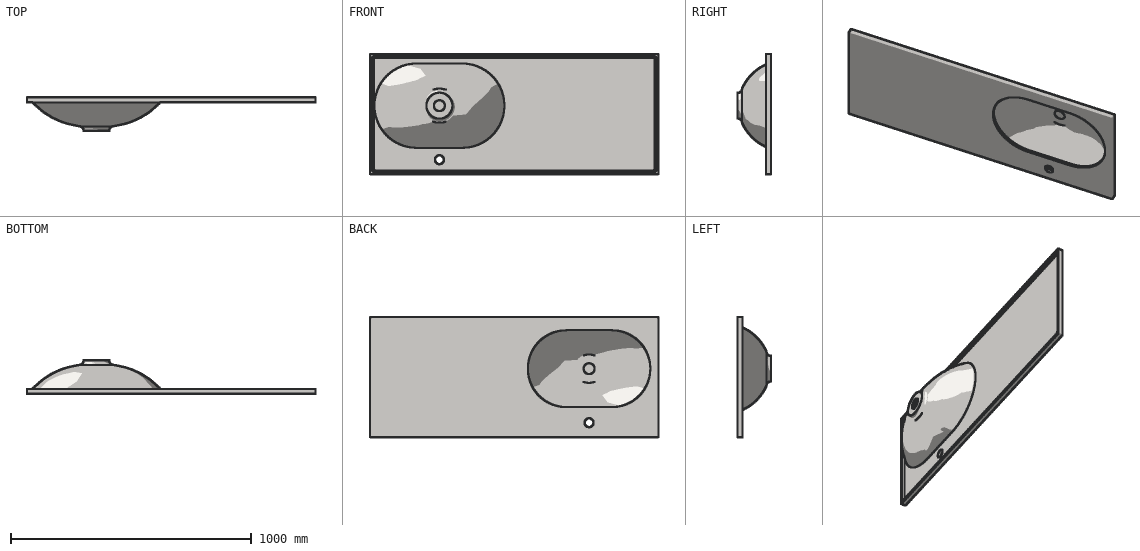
import cadquery as cq
import math


panel_length = 1200.0
panel_height = 500.0
panel_thickness = 22.0
panel_corner_radius = 6.0
rear_edge_radius = 4.0

rim_width = 10.0
recess_corner_radius = 10.0
recess_depth = 6.0
recess_slope_run = 7.0

tap_hole_diameter = 36.0
tap_hole_z = -190.0

bowl_x = -311.0
bowl_z = 35.0
bowl_half_length = 266.0
bowl_half_height = 172.0
bowl_depth = 100.0
bowl_end_half_length = 72.0
bowl_end_half_height = 71.0
length_profile_radius = 324.0
height_profile_radius = 198.0
section_count = 6
skirt_flare = 4.0
wall_thickness = 12.0

neck_depth = 119.0
neck_radius = 54.0
neck_flare = bowl_end_half_height - neck_radius
drain_radius = 23.0
plug_setback = 7.0


def front_plane(depth):
    """Workplane centred on the bowl axis at a depth, with its normal toward -Y and X to the right."""
    origin = (bowl_x, -panel_thickness - depth, bowl_z)
    return cq.Workplane(cq.Plane(origin=origin, xDir=(1, 0, 0), normal=(0, -1, 0)))


def arc_reach(depth, start_reach, end_reach, radius):
    """Distance from the bowl axis, at a depth, of the circular arc from the rim to the bowl end."""
    inward = start_reach - end_reach
    chord = math.hypot(inward, bowl_depth)
    centre_offset = math.sqrt(radius**2 - chord**2 / 4)
    centre_reach = (start_reach + end_reach) / 2 - centre_offset * bowl_depth / chord
    centre_depth = bowl_depth / 2 - centre_offset * inward / chord
    return centre_reach + math.sqrt(radius**2 - (depth - centre_depth) ** 2)


def stadium(plane, half_length, half_height):
    """Closed stadium outline: two straight sides joined by two half circles."""
    straight = half_length - half_height
    return (
        plane.moveTo(-straight, half_height)
        .lineTo(straight, half_height)
        .threePointArc((half_length, 0), (straight, -half_height))
        .lineTo(-straight, -half_height)
        .threePointArc((-half_length, 0), (-straight, half_height))
        .close()
    )


def bowl_loft(offset):
    """Smooth bowl volume, narrowed and moved rearward by an offset from the outer bowl surface."""
    wires = []
    for index in range(section_count):
        depth = bowl_depth * index / (section_count - 1)
        half_length = arc_reach(depth, bowl_half_length, bowl_end_half_length, length_profile_radius)
        half_height = arc_reach(depth, bowl_half_height, bowl_end_half_height, height_profile_radius)
        section = stadium(front_plane(depth - offset), half_length - offset, half_height - offset)
        wires.append(section.val())
    return cq.Workplane(cq.Solid.makeLoft(wires))


def make_panel():
    """Rounded panel with the sloped recess in its front face."""
    panel = (
        cq.Workplane("XZ")
        .rect(panel_length, panel_height)
        .extrude(panel_thickness)
        .edges("|Y")
        .fillet(panel_corner_radius)
        .faces(">Y")
        .edges()
        .fillet(rear_edge_radius)
    )
    slope_angle = math.degrees(math.atan2(recess_slope_run, recess_depth))
    recess = (
        cq.Workplane("XZ", origin=(0, -panel_thickness, 0))
        .sketch()
        .rect(panel_length - 2 * rim_width, panel_height - 2 * rim_width)
        .vertices()
        .fillet(recess_corner_radius)
        .finalize()
        .extrude(-recess_depth, taper=slope_angle)
    )
    return panel.cut(recess)


def make_skirt():
    """Steep band that carries the bowl outline from the recess floor out to the panel front plane."""
    floor_half_length = bowl_half_length + skirt_flare
    floor_half_height = bowl_half_height + skirt_flare
    floor = stadium(front_plane(-recess_depth), floor_half_length, floor_half_height)
    top = stadium(front_plane(0), bowl_half_length, bowl_half_height)
    return cq.Workplane(cq.Solid.makeLoft([floor.val(), top.val()], True))


def make_neck():
    """Round drain neck that flares out, along a concave arc, into the end of the bowl."""
    profile = (
        cq.Workplane("XY", origin=(bowl_x, -panel_thickness, bowl_z))
        .moveTo(0, -bowl_depth + wall_thickness)
        .lineTo(0, -neck_depth)
        .lineTo(neck_radius, -neck_depth)
        .lineTo(neck_radius, -bowl_depth - neck_flare)
        .tangentArcPoint((bowl_end_half_height, -bowl_depth), relative=False)
        .lineTo(bowl_end_half_height - wall_thickness, -bowl_depth + wall_thickness)
        .close()
    )
    return profile.revolve(360, (0, 0), (0, 1))


def make_basin():
    """Panel and bowl in one piece, hollowed from the rear, with its drain and tap holes."""
    outer = make_panel().union(make_skirt()).union(bowl_loft(0)).union(make_neck())
    cavity = bowl_loft(wall_thickness)
    mouth_half_length = bowl_half_length - wall_thickness
    mouth_half_height = bowl_half_height - wall_thickness
    mouth_outline = stadium(front_plane(-wall_thickness), mouth_half_length, mouth_half_height)
    mouth = mouth_outline.extrude(-panel_thickness)
    drain = front_plane(0).circle(drain_radius).extrude(neck_depth)
    tap_plane = cq.Workplane("XZ", origin=(bowl_x, 0, tap_hole_z))
    tap_hole = tap_plane.circle(tap_hole_diameter / 2).extrude(panel_thickness)
    return outer.cut(cavity).cut(mouth).cut(drain).cut(tap_hole)


def make_plug():
    """Disc that closes the drain, set back from the neck end and flush with the cavity floor."""
    cavity_floor = bowl_depth - wall_thickness
    return front_plane(cavity_floor).circle(drain_radius).extrude(neck_depth - plug_setback - cavity_floor)


basin = make_basin()
plug = make_plug()
result = cq.Compound.makeCompound([basin.solids().val(), plug.val()])